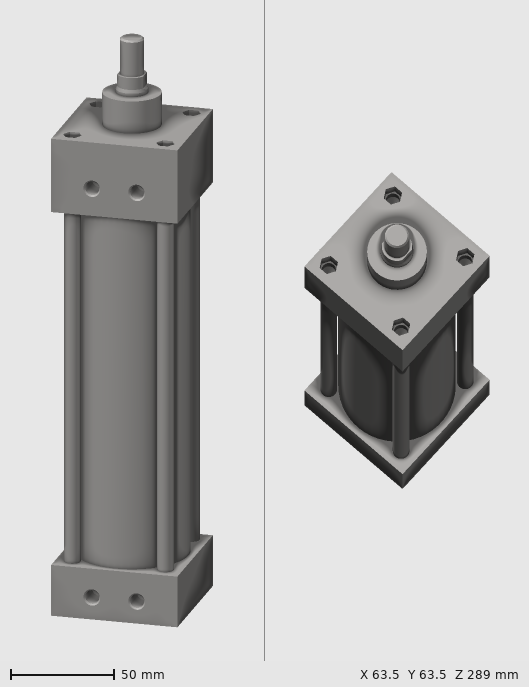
import cadquery as cq
import math

total_height = 289.0
head_side = 63.5
rear_head_height = 26.0
front_head_bottom = 207.0
front_head_top = 244.5
barrel_diameter = 57.0

tie_rod_diameter = 8.0
tie_rod_spacing = 46.8

socket_width = 8.0
socket_sides = 6
socket_depth = 8.7

collar_diameter = 29.0
collar_top = 261.0

port_mouth_diameter = 8.5
core_diameter = 7.0
port_spacing = 22.5
rear_port_height = 11.3
front_port_height = 220.7
port_depth = 13.0
corner_hole_depth = 5.8
drill_point_angle = 118.0

rod_diameter = 16.0
neck_diameter = 14.7
tip_diameter = 11.8
tip_chamfer = 1.0
rod_shoulder_height = 262.5
neck_bottom = 264.5
neck_top = 270.5
flat_width = 13.0


def cylinder(diameter, bottom, top):
    """Vertical cylinder on the Z axis between two heights."""
    return cq.Workplane("XY").workplane(offset=bottom).circle(diameter / 2).extrude(top - bottom)


def head(bottom, top):
    """Square head between two heights."""
    height = top - bottom
    return cq.Workplane("XY").workplane(offset=bottom).rect(head_side, head_side).extrude(height)


def drilled_hole(depth, mouth_diameter=core_diameter):
    """Cutter for a blind hole along -Z from the origin, with a drill point and a 45 degree mouth."""
    core_radius = core_diameter / 2
    mouth_radius = mouth_diameter / 2
    countersink_depth = mouth_radius - core_radius
    point_height = core_radius / math.tan(math.radians(drill_point_angle / 2))
    cutter = cq.Workplane("XZ").moveTo(0, 0).lineTo(mouth_radius, 0)
    if countersink_depth > 0:
        cutter = cutter.lineTo(core_radius, -countersink_depth)
    return (
        cutter.lineTo(core_radius, -depth)
        .lineTo(0, -depth - point_height)
        .close()
        .revolve(360, (0, 0, 0), (0, 1, 0))
    )


def corner_socket():
    """Cutter for a hexagonal socket along -Z from the origin, with a blind hole in its floor."""
    across_corners = socket_width / math.cos(math.pi / socket_sides)
    hexagon = cq.Workplane("XY").polygon(socket_sides, across_corners).extrude(-socket_depth)
    return hexagon.union(drilled_hole(corner_hole_depth).translate((0, 0, -socket_depth)))


def make_housing():
    """Heads, barrel, tie rods and collar as one solid, with its holes and the rod bore."""
    corners = [
        (x_side * tie_rod_spacing / 2, y_side * tie_rod_spacing / 2)
        for x_side in (-1, 1)
        for y_side in (-1, 1)
    ]

    housing = head(0, rear_head_height)
    housing = housing.union(cylinder(barrel_diameter, rear_head_height, front_head_bottom))
    for x, y in corners:
        tie_rod = cylinder(tie_rod_diameter, rear_head_height, front_head_bottom)
        housing = housing.union(tie_rod.translate((x, y, 0)))
    housing = housing.union(head(front_head_bottom, front_head_top))
    housing = housing.union(cylinder(collar_diameter, front_head_top, collar_top))

    for x, y in corners:
        housing = housing.cut(corner_socket().translate((x, y, front_head_top)))

    port = drilled_hole(port_depth, port_mouth_diameter).rotate((0, 0, 0), (1, 0, 0), 90)
    for z in (rear_port_height, front_port_height):
        for x in (-port_spacing / 2, port_spacing / 2):
            housing = housing.cut(port.translate((x, -head_side / 2, z)))

    return housing.cut(cylinder(rod_diameter, front_head_bottom, collar_top))


def make_piston_rod():
    """Stepped rod with two wrench flats on its neck."""
    rod = (
        cq.Workplane("XZ")
        .moveTo(0, front_head_bottom)
        .lineTo(rod_diameter / 2, front_head_bottom)
        .lineTo(rod_diameter / 2, rod_shoulder_height)
        .lineTo(neck_diameter / 2, neck_bottom)
        .lineTo(neck_diameter / 2, neck_top)
        .lineTo(tip_diameter / 2, neck_top)
        .lineTo(tip_diameter / 2, total_height - tip_chamfer)
        .lineTo(tip_diameter / 2 - tip_chamfer, total_height)
        .lineTo(0, total_height)
        .close()
        .revolve(360, (0, 0, 0), (0, 1, 0))
    )

    flat_cut_depth = (rod_diameter - flat_width) / 2
    flat_cutter = (
        cq.Workplane("XZ")
        .moveTo(flat_width / 2, neck_top)
        .lineTo(flat_width / 2, neck_bottom)
        .lineTo(flat_width / 2 + flat_cut_depth, neck_bottom - flat_cut_depth)
        .lineTo(flat_width / 2 + flat_cut_depth, neck_top)
        .close()
        .extrude(rod_diameter / 2, both=True)
    )
    return rod.cut(flat_cutter).cut(flat_cutter.mirror("YZ"))


housing = make_housing()
piston_rod = make_piston_rod()

result = cq.Compound.makeCompound([housing.val(), piston_rod.val()])